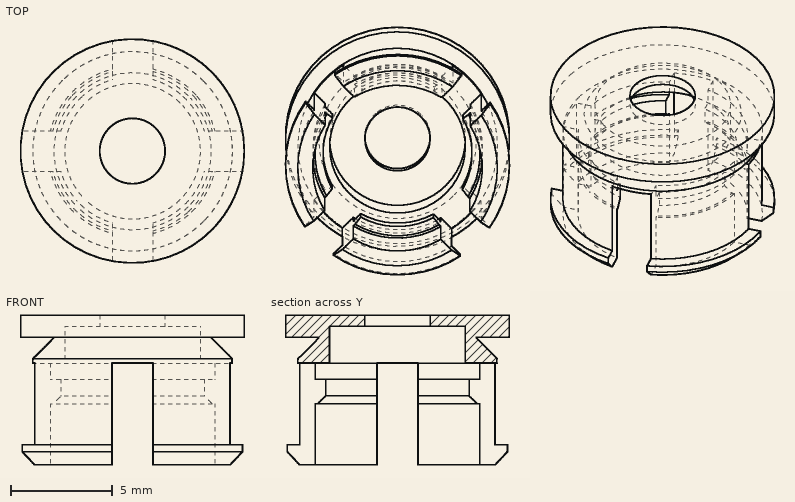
import cadquery as cq

total_height = 7.36
flange_thickness = 1.1
top_wall = 0.55
leg_top_depth = 2.36
neck_cone_depth = 2.14
bore_top_z = total_height - top_wall
leg_top_z = total_height - leg_top_depth
neck_cone_bottom_z = total_height - neck_cone_depth
flange_bottom_z = total_height - flange_thickness

flange_radius = 11.0 / 2
leg_radius = 9.8 / 2
lip_radius = flange_radius
neck_radius = leg_radius - (flange_bottom_z - neck_cone_bottom_z)

lip_height = 1.0
lip_chamfer_height = 0.65

screw_hole_radius = 3.2 / 2
upper_bore_radius = 6.66 / 2
leg_bore_radius = 4.16

ridge_radius = 3.66
ridge_top_depth = 3.16
ridge_foot_depth = 4.35
ridge_top_z = total_height - ridge_top_depth
ridge_foot_z = total_height - ridge_foot_depth
ridge_foot_radius = 4.04
ridge_cone_top_z = ridge_foot_z + (ridge_foot_radius - ridge_radius)

slot_width = 2.0


def turned_blank():
    """Revolved section: flange, conical neck, skirt, lip and stepped bore."""
    outside = [
        (screw_hole_radius, total_height),
        (flange_radius, total_height),
        (flange_radius, flange_bottom_z),
        (neck_radius, flange_bottom_z),
        (leg_radius, neck_cone_bottom_z),
        (leg_radius, lip_height),
        (lip_radius, lip_height),
        (lip_radius, lip_chamfer_height),
        (leg_radius, 0),
    ]
    inside = [
        (leg_bore_radius, 0),
        (leg_bore_radius, ridge_foot_z),
        (ridge_foot_radius, ridge_foot_z),
        (ridge_radius, ridge_cone_top_z),
        (ridge_radius, ridge_top_z),
        (leg_bore_radius, ridge_top_z),
        (leg_bore_radius, leg_top_z),
        (upper_bore_radius, leg_top_z),
        (upper_bore_radius, bore_top_z),
        (screw_hole_radius, bore_top_z),
    ]
    section = cq.Workplane("XZ").polyline(outside + inside).close()
    return section.revolve(360, (0, 0, 0), (0, 1, 0))


def cross_slots():
    """Two perpendicular slots through the full skirt, up to the bore step."""
    slot_length = 2 * flange_radius
    along_x = cq.Workplane("XY").rect(slot_length, slot_width).extrude(leg_top_z)
    along_y = cq.Workplane("XY").rect(slot_width, slot_length).extrude(leg_top_z)
    return along_x.union(along_y)


result = turned_blank().cut(cross_slots())